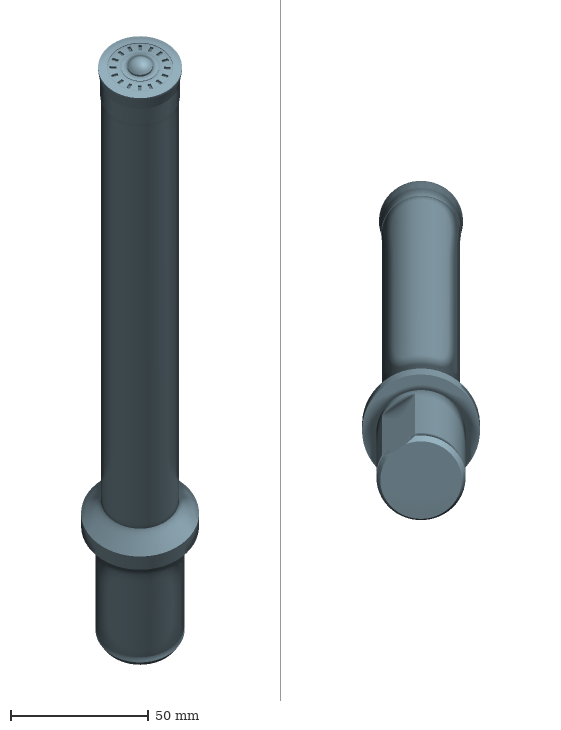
import cadquery as cq
import math

total_height = 309.5
groove_bottom = 2.8
groove_root = 4.5
groove_top = 5.5
flat_top = 52.5
neck_bottom = 56.3
flange_bottom = 58.5
flange_top = 65.5
shoulder_top = 72.7
cap_bottom = 291.0
cap_flare_start = 299.5
lip_bottom = 305.2
cap_top = 306.0
button_collar_top = 307.0

spigot_radius = 32.5 / 2
spigot_end_radius = 15.0
groove_radius = 15.2
neck_radius = 15.5
flange_radius = 43.0 / 2
tube_radius = 14.2
cap_radius = 14.5
lip_radius = 30.5 / 2
button_radius = 4.5

flat_offset = 14.5

ring_inner_radius = 6.8
ring_outer_radius = 12.0
ring_depth = 0.3
slot_count = 16
slot_inner_radius = 8.7
slot_outer_radius = 11.0
slot_width = 1.2
slot_depth = 1.2


def make_body():
    """Turned body, from the spigot end up to the domed button."""
    button_height = total_height - button_collar_top
    dome_radius = (button_radius**2 + button_height**2) / (2 * button_height)
    dome_center = total_height - dome_radius
    half_button = button_radius / 2
    dome_middle = (half_button, dome_center + math.sqrt(dome_radius**2 - half_button**2))
    return (
        cq.Workplane("XZ")
        .lineTo(spigot_end_radius, 0)
        .lineTo(spigot_radius, groove_bottom)
        .lineTo(groove_radius, groove_root)
        .lineTo(groove_radius, groove_top)
        .lineTo(spigot_radius, groove_top)
        .lineTo(spigot_radius, neck_bottom)
        .lineTo(neck_radius, neck_bottom)
        .lineTo(neck_radius, flange_bottom)
        .lineTo(flange_radius, flange_bottom)
        .lineTo(flange_radius, flange_top)
        .lineTo(tube_radius, shoulder_top)
        .lineTo(tube_radius, cap_bottom)
        .lineTo(cap_radius, cap_bottom)
        .lineTo(cap_radius, cap_flare_start)
        .lineTo(lip_radius, lip_bottom)
        .lineTo(lip_radius, cap_top)
        .lineTo(button_radius, cap_top)
        .lineTo(button_radius, button_collar_top)
        .threePointArc(dome_middle, (0, total_height))
        .close()
        .revolve(360, (0, 0, 0), (0, 1, 0))
    )


def make_flat_cutter():
    """Block that removes the spigot beyond the flat."""
    width = 2 * spigot_radius
    return (
        cq.Workplane("XY")
        .box(width, width, flat_top, centered=(True, False, False))
        .translate((0, flat_offset, 0))
    )


def make_ring_cutter():
    """Shallow annular recess around the button."""
    return (
        cq.Workplane("XY", origin=(0, 0, cap_top - ring_depth))
        .circle(ring_outer_radius)
        .circle(ring_inner_radius)
        .extrude(ring_depth)
    )


def make_slot_cutters():
    """Radial slots, evenly spaced in the recess."""
    slot_length = slot_outer_radius - slot_inner_radius
    slot_middle = (slot_outer_radius + slot_inner_radius) / 2
    return (
        cq.Workplane("XY", origin=(0, 0, cap_top - slot_depth))
        .polarArray(slot_middle, 0, 360, slot_count)
        .rect(slot_length, slot_width)
        .extrude(slot_depth)
    )


result = (
    make_body()
    .cut(make_flat_cutter())
    .cut(make_ring_cutter())
    .cut(make_slot_cutters())
)